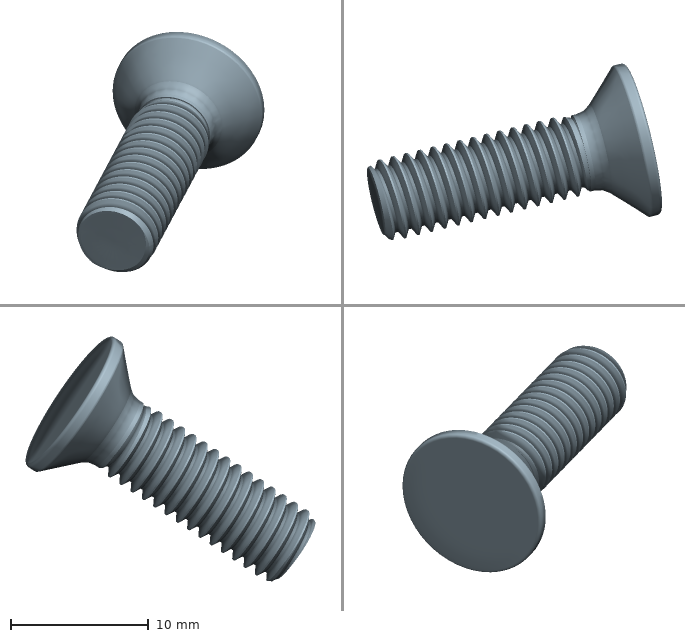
import cadquery as cq
import math


length = 20.0
head_radius = 11.3 / 2

head_top_fillet = 0.25
rim_height = 0.85
rim_lower_fillet = 0.2
neck_radius = 2.85
neck_fillet = 1.55
neck_end = 4.62
head_half_angle = math.radians(45)

pitch = 1.0
major_radius = 3.0
flank_half_angle = math.radians(30)
crest_width = pitch / 8
core_radius = 2.43
ridge_base_radius = 2.36
ridge_crest_radius = 3.05
crest_phase = 0.63

runout_radius = 2.75
runout_cone_length = 0.4
crest_taper_start = 4.95
crest_taper_end = 5.5
tip_radius = 2.62
tip_chamfer_angle = math.radians(30)

dish_radius = core_radius
dish_depth = 0.1


def make_head_and_core():
    """Head, filleted neck and the plain core on which the thread stands."""
    cone_end = rim_height + (head_radius - neck_radius) / math.tan(head_half_angle)
    runout_end = neck_end + runout_cone_length
    outline = [
        (0, 0),
        (head_radius, 0),
        (head_radius, rim_height),
        (neck_radius, cone_end),
        (neck_radius, neck_end),
        (runout_radius, neck_end),
        (core_radius, runout_end),
        (core_radius, length),
        (0, length),
    ]
    body = cq.Workplane("XZ").polyline(outline).close().revolve(360, (0, 0), (0, 1))

    def circle_at(radius, height):
        margin = 0.01
        return cq.selectors.BoxSelector(
            (-radius - margin, -radius - margin, height - margin),
            (radius + margin, radius + margin, height + margin),
            boundingbox=True,
        )

    body = body.edges(circle_at(neck_radius, cone_end)).fillet(neck_fillet)
    body = body.edges(circle_at(head_radius, rim_height)).fillet(rim_lower_fillet)
    return body.edges(circle_at(head_radius, 0)).fillet(head_top_fillet)


def make_thread_blank():
    """Turned envelope of the thread crests, tapered at both ends."""
    chamfer_length = (major_radius - tip_radius) / math.tan(tip_chamfer_angle)
    outline = [
        (0, neck_end),
        (runout_radius, neck_end),
        (runout_radius, crest_taper_start),
        (major_radius, crest_taper_end),
        (major_radius, length - chamfer_length),
        (tip_radius, length),
        (0, length),
    ]
    return cq.Workplane("XZ").polyline(outline).close().revolve(360, (0, 0), (0, 1))


def half_width_at(radius):
    """Half the width of the thread ridge along the axis, at a given radius."""
    return crest_width / 2 + (major_radius - radius) * math.tan(flank_half_angle)


def one_turn(radius, height):
    """One turn of helix that starts on the X axis at a given height."""
    wire = cq.Wire.makeHelix(pitch, pitch, radius, center=cq.Vector(0, 0, height))
    return wire.Edges()[0]


def make_ridge():
    """Helical ridge, slightly too tall, that overruns the thread blank at both ends."""
    turns_before_neck = math.floor(neck_end / pitch) - 1
    start = (turns_before_neck + crest_phase) * pitch
    turns = math.ceil((length - start) / pitch) + 1
    corners = [
        (ridge_base_radius, -half_width_at(ridge_base_radius)),
        (ridge_crest_radius, -half_width_at(ridge_crest_radius)),
        (ridge_crest_radius, half_width_at(ridge_crest_radius)),
        (ridge_base_radius, half_width_at(ridge_base_radius)),
    ]

    faces = []
    for turn in range(turns):
        turn_height = start + turn * pitch
        helices = [one_turn(radius, turn_height + offset) for radius, offset in corners]
        faces += [cq.Face.makeRuledSurface(helices[i - 1], helices[i]) for i in range(len(helices))]

    for end_height in (start, start + turns * pitch):
        points = [cq.Vector(radius, 0, end_height + offset) for radius, offset in corners]
        faces.append(cq.Face.makeFromWires(cq.Wire.makePolygon(points, close=True)))
    return cq.Workplane(cq.Solid.makeSolid(cq.Shell.makeShell(faces)))


def make_dish():
    """Large sphere whose lowest cap hollows the tip face."""
    sphere_radius = (dish_radius**2 + dish_depth**2) / (2 * dish_depth)
    centre_height = length - dish_depth + sphere_radius
    return cq.Workplane("XY", origin=(0, 0, centre_height)).sphere(sphere_radius)


thread = make_thread_blank().intersect(make_ridge(), clean=False)
screw = make_head_and_core().union(thread, clean=False)
screw = screw.cut(make_dish(), clean=False)
result = screw.rotate((0, 0, 0), (1, 0, 0), 90)